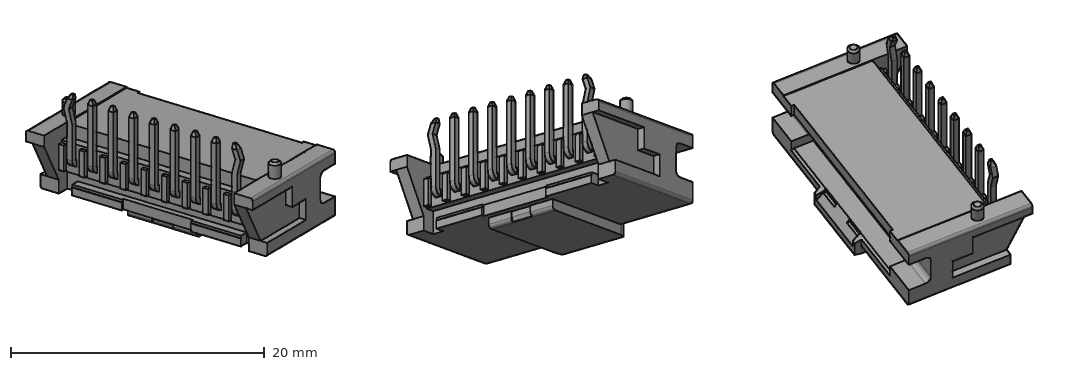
import cadquery as cq


width = 22.0
inner_half_width = 9.22
end_wall_height = 5.8
deck_height = 5.72
core_back = -8.07
top_back = -11.2
foot_back = -9.22
end_edge_radius = 0.25

notch_bottom = 1.75
notch_top = 4.6
notch_depth = 2.0
notch_radius = 0.5
mouth_half_width = 7.96
mouth_floor = 0.85
mouth_deck_setback = 0.26
lead_in_depth = 0.25
lead_in_slope = 0.55

relief_depth = 0.64
relief_top = 4.82
relief_step = 3.04
relief_bottom = 1.2
relief_upper_front = -5.8
relief_lower_front = -3.95

carrier_back = -8.85
carrier_bottom = 1.91
carrier_top = 4.53
rib_back = -9.2
rib_bottom = 2.05
rib_height = 2.27
rib_width = 0.5

ledge_half_width = 8.18
ledge_back = -8.82
ledge_height = 0.92
ledge_middle_back = -8.65
ledge_lip_back = -8.89
ledge_lip_height = 0.7

latch_half_width = 3.37
latch_depth = 0.85
latch_round = 0.33
tongue_reach = 0.55
tongue_tip_half_width = 3.23
ramp_half_width = 2.8
ramp_tip_half_width = 2.93
ramp_tip_height = -0.13
latch_slot_half_width = 1.01
latch_slot_setback = 0.09
latch_slot_taper_run = 0.13
latch_slot_taper_height = 0.42

pin_count = 9
pitches_across_width = 11
pin_pitch = width / pitches_across_width
pin_size = 0.5
pin_back = -9.45
pin_bottom = 2.6
pin_bend_radius = 0.77
pin_top = 9.05
pin_tip_height = 0.4
pin_tip_size = 0.22
kink_start = 6.51
kink_peak = 7.77
kink_offset = 0.33

post_x = pin_pitch * (pin_count + 1) / 2
post_y = -6.78
post_radius = 0.5
post_top = 7.17
post_chamfer = 0.2

first_pin_x = -pin_pitch * (pin_count - 1) / 2


def box(x_range, y_range, z_range):
    """Axis-aligned box between pairs of coordinates."""
    size = [high - low for low, high in (x_range, y_range, z_range)]
    corner = (x_range[0], y_range[0], z_range[0])
    return cq.Workplane("XY").box(*size, centered=False).translate(corner)


def side_prism(points, x_low, x_high):
    """Solid with the given (y, z) outline between two X positions."""
    return cq.Workplane("YZ", origin=(x_low, 0, 0)).polyline(points).close().extrude(x_high - x_low)


def on_both_ends(solid):
    return solid.union(solid.mirror("YZ"))


def lead_in_height(y):
    """Height of the sloping lead-in that runs from the mouth floor out over the latch tongue."""
    return mouth_floor - lead_in_slope * (y + lead_in_depth)


def end_wall():
    """Left end wall with its sloped back and the stepped relief in its outer face."""
    outline = [
        (0, 0),
        (foot_back, 0),
        (foot_back, relief_bottom),
        (top_back, relief_top),
        (top_back, end_wall_height),
        (0, end_wall_height),
    ]
    wall = side_prism(outline, -width / 2, -inner_half_width)
    wall = wall.edges("|Y and <X").fillet(end_edge_radius)
    relief = [
        (relief_lower_front, relief_bottom),
        (top_back, relief_bottom),
        (top_back, relief_top),
        (relief_upper_front, relief_top),
        (relief_upper_front, relief_step),
        (relief_lower_front, relief_step),
    ]
    return wall.cut(side_prism(relief, -width / 2, -width / 2 + relief_depth))


def core():
    """Middle of the housing, with the pin carrier along its back."""
    inner = (-inner_half_width, inner_half_width)
    block = box(inner, (core_back, 0), (0, deck_height))
    return block.union(box(inner, (carrier_back, core_back), (carrier_bottom, carrier_top)))


def mouth():
    """Space removed at the front: a notch across the full width, a floor and a deck cutout."""
    notch = box((-width / 2, width / 2), (-notch_depth, 0), (notch_bottom, notch_top))
    notch = notch.edges("|X and <Y").fillet(notch_radius)
    notch_middle = (notch_bottom + notch_top) / 2
    opening = [
        (0, lead_in_height(0)),
        (-lead_in_depth, mouth_floor),
        (-notch_depth, mouth_floor),
        (-notch_depth, notch_middle),
        (-mouth_deck_setback, notch_middle),
        (-mouth_deck_setback, deck_height),
        (0, deck_height),
    ]
    return notch.union(side_prism(opening, -mouth_half_width, mouth_half_width))


def ledge():
    """Ledge with a set-back middle stretch and a low lip along each outer stretch."""
    middle = (-latch_half_width, latch_half_width)
    side = (-ledge_half_width, -latch_half_width)
    outer = box(side, (ledge_back, core_back), (0, ledge_height))
    lip = box(side, (ledge_lip_back, ledge_back), (0, ledge_lip_height))
    bar = box(middle, (ledge_middle_back, core_back), (0, ledge_height))
    return bar.union(on_both_ends(outer.union(lip)))


def latch_block():
    """Block under the housing with a rounded back edge and a tapered shallow slot in its back."""
    block = box((-latch_half_width, latch_half_width), (core_back, 0), (-latch_depth, 0))
    block = block.edges("<Y and <Z").fillet(latch_round)
    slot_front = core_back + latch_slot_setback
    slot = [
        (core_back, 0),
        (core_back, -latch_depth),
        (slot_front + latch_slot_taper_run, -latch_depth),
        (slot_front, -latch_depth + latch_slot_taper_height),
        (slot_front, 0),
    ]
    return block.cut(side_prism(slot, -latch_slot_half_width, latch_slot_half_width))


def tongue_prism(base_half_width, tip_half_width):
    """Upright trapezoid prism over the tongue, from the latch underside to the mouth floor."""
    plan = [
        (-base_half_width, 0),
        (base_half_width, 0),
        (tip_half_width, tongue_reach),
        (-tip_half_width, tongue_reach),
    ]
    base = cq.Workplane("XY", origin=(0, 0, -latch_depth))
    return base.polyline(plan).close().extrude(latch_depth + mouth_floor)


def latch_tongue():
    """Tapered tongue in front of the mouth, topped by the lead-in slope."""
    profile = [
        (0, -latch_depth),
        (tongue_reach, -latch_depth),
        (tongue_reach, lead_in_height(tongue_reach)),
        (0, lead_in_height(0)),
    ]
    plan = tongue_prism(latch_half_width, tongue_tip_half_width)
    return plan.intersect(side_prism(profile, -latch_half_width, latch_half_width))


def ramp_recess():
    """Recess over the tongue: a steep ramp whose middle climbs to the mouth floor
    between two flat pockets."""
    ramp_slope = (mouth_floor - ramp_tip_height) / (mouth_deck_setback + tongue_reach)
    pocket_floor = mouth_floor - ramp_slope * mouth_deck_setback
    above_ramp = [
        (-mouth_deck_setback, mouth_floor),
        (tongue_reach, ramp_tip_height),
        (tongue_reach, mouth_floor),
    ]
    plan = tongue_prism(ramp_half_width, ramp_tip_half_width)
    front = plan.intersect(side_prism(above_ramp, -ramp_tip_half_width, ramp_tip_half_width))
    middle = side_prism(above_ramp, -latch_slot_half_width, latch_slot_half_width)
    pocket = box(
        (-ramp_half_width, -latch_slot_half_width),
        (-mouth_deck_setback, 0),
        (pocket_floor, mouth_floor),
    )
    return front.union(middle).union(on_both_ends(pocket))


def pin_tip(tip_shift):
    """Tapered pin end whose top is shifted in X by tip_shift."""
    y = pin_back + pin_size / 2
    return (
        cq.Workplane("XY", origin=(0, y, pin_top - pin_tip_height))
        .rect(pin_size, pin_size)
        .workplane(offset=pin_tip_height)
        .center(tip_shift, 0)
        .rect(pin_tip_size, pin_tip_size)
        .loft(ruled=True)
    )


def pin_root(leg_top):
    """Lower part of a pin: it leaves the carrier and bends upward on a radius."""
    bend_y = pin_back + pin_bend_radius
    bend_z = pin_bottom + pin_bend_radius
    inner_radius = pin_bend_radius - pin_size
    diagonal = 0.5 ** 0.5
    return (
        cq.Workplane("YZ", origin=(-pin_size / 2, 0, 0))
        .moveTo(core_back, pin_bottom)
        .lineTo(bend_y, pin_bottom)
        .threePointArc(
            (bend_y - pin_bend_radius * diagonal, bend_z - pin_bend_radius * diagonal),
            (pin_back, bend_z),
        )
        .lineTo(pin_back, leg_top)
        .lineTo(pin_back + pin_size, leg_top)
        .lineTo(pin_back + pin_size, bend_z)
        .threePointArc(
            (bend_y - inner_radius * diagonal, bend_z - inner_radius * diagonal),
            (bend_y, pin_bottom + pin_size),
        )
        .lineTo(core_back, pin_bottom + pin_size)
        .close()
        .extrude(pin_size)
    )


def straight_pin():
    return pin_root(pin_top - pin_tip_height).union(pin_tip(0))


def kinked_pin():
    """Retention pin that kinks toward -X and ends in a one-sided taper."""
    half = pin_size / 2
    kink_end = pin_top - pin_tip_height
    outline = [
        (-half, kink_start),
        (-half - kink_offset, kink_peak),
        (-half, kink_end),
        (half, kink_end),
        (half - kink_offset, kink_peak),
        (half, kink_start),
    ]
    kink = cq.Workplane("XZ", origin=(0, pin_back, 0)).polyline(outline).close().extrude(-pin_size)
    tip = pin_tip((pin_size - pin_tip_size) / 2)
    return pin_root(kink_start).union(kink).union(tip)


def post():
    """Left locating post with a chamfered top."""
    return (
        cq.Workplane("XY", origin=(-post_x, post_y, deck_height))
        .circle(post_radius)
        .extrude(post_top - deck_height)
        .faces(">Z")
        .chamfer(post_chamfer)
    )


housing = core().union(on_both_ends(end_wall())).cut(mouth())
housing = housing.union(ledge()).union(latch_block()).union(latch_tongue())
housing = housing.cut(ramp_recess()).union(on_both_ends(post()))

for index in range(pin_count + 1):
    rib_x = first_pin_x + (index - 0.5) * pin_pitch
    rib = box(
        (rib_x - rib_width / 2, rib_x + rib_width / 2),
        (rib_back, carrier_back),
        (rib_bottom, rib_bottom + rib_height),
    )
    housing = housing.union(rib)

housing = housing.union(on_both_ends(kinked_pin().translate((first_pin_x, 0, 0))))
for index in range(1, pin_count - 1):
    housing = housing.union(straight_pin().translate((first_pin_x + index * pin_pitch, 0, 0)))

result = housing